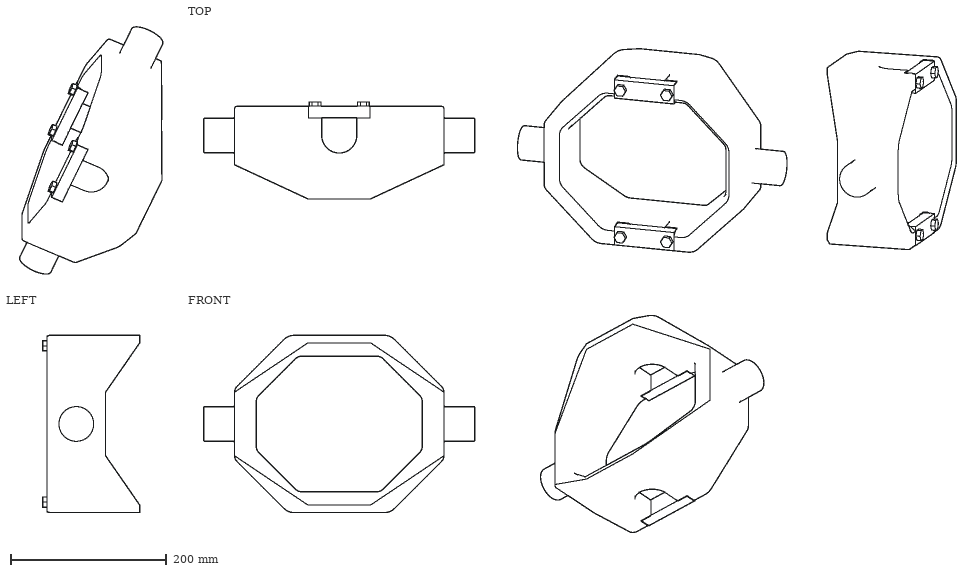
import cadquery as cq
RING_WIDTH = 270.2
RING_HEIGHT = 229.0
CORNER_CUT = 69.3
OPENING_WIDTH = 213.5
OPENING_HEIGHT = 174.3
OPENING_CORNER_CUT = 53.5
SIDE_CORNER_RADIUS = 10.5
END_CORNER_RADIUS = 18.5
OPENING_CORNER_RADIUS = 10.5
EDGE_RADIUS = 3.5

BACK_CHAMFER_DEPTH = 9.0
BACK_CHAMFER_WIDTH = 7.0
FRONT_RADIUS = 1.0

BACK_Y = 37.8
SIDE_FRONT_Y = -BACK_Y
NOSE_Y = -82.0
NOSE_WIDTH = 80.5
NOSE_GAP = 209.3
SIDE_FLAT_HEIGHT = 82.0

TRUNNION_SPAN = 350.0
TRUNNION_RADIUS = 22.5
TRUNNION_ROUNDING = 1.8

SLOT_RADIUS = 22.5
BLOCK_WIDTH = 79.8
BLOCK_DEPTH = 15.0
BLOCK_INSET = 1.0

HEAD_ACROSS_CORNERS = 15.5
HEAD_HEIGHT = 5.5
HEAD_SPACING = 62.3

WALL = (RING_HEIGHT - OPENING_HEIGHT) / 2
WALL_MID_Z = (RING_HEIGHT - WALL) / 2
RING_DEPTH = BACK_Y - NOSE_Y
BLOCK_FRONT_Y = BACK_Y - BLOCK_DEPTH
SIDE_X = RING_WIDTH / 2
TOLERANCE = 0.05


def octagon_prism(width, height, corner_cut):
    """Rectangle with 45 degree corners in XZ, from the back plane to the nose plane."""
    return (
        cq.Workplane("XZ", origin=(0, BACK_Y, 0))
        .rect(width, height)
        .extrude(RING_DEPTH)
        .edges("|Y")
        .chamfer(corner_cut)
    )


def make_outer_prism():
    """Octagon with its corners and the rim of its back face rounded."""
    prism = octagon_prism(RING_WIDTH, RING_HEIGHT, CORNER_CUT)
    mid_corner_z = (RING_HEIGHT - CORNER_CUT) / 2
    prism = (
        prism.edges("|Y")
        .filter(lambda edge: abs(edge.Center().z) < mid_corner_z)
        .fillet(SIDE_CORNER_RADIUS)
    )
    prism = (
        prism.edges("|Y")
        .filter(lambda edge: abs(edge.Center().z) > RING_HEIGHT / 2 - END_CORNER_RADIUS / 2)
        .fillet(END_CORNER_RADIUS)
    )
    return prism.faces(">Y").edges().fillet(EDGE_RADIUS)


def make_plan_limit():
    """Prism along Z whose front narrows from the trunnion sides to the nose."""
    return (
        cq.Workplane("XY", origin=(0, 0, -RING_HEIGHT / 2))
        .polyline(
            [
                (SIDE_X, BACK_Y),
                (SIDE_X, SIDE_FRONT_Y),
                (NOSE_WIDTH / 2, NOSE_Y),
                (-NOSE_WIDTH / 2, NOSE_Y),
                (-SIDE_X, SIDE_FRONT_Y),
                (-SIDE_X, BACK_Y),
            ]
        )
        .close()
        .extrude(RING_HEIGHT)
    )


def make_front_notch():
    """Tapered notch across X that leaves the top and bottom walls reaching to the nose."""
    notch = (
        cq.Workplane("YZ", origin=(-SIDE_X, 0, 0))
        .polyline(
            [
                (SIDE_FRONT_Y, SIDE_FLAT_HEIGHT / 2),
                (NOSE_Y, NOSE_GAP / 2),
                (NOSE_Y, -NOSE_GAP / 2),
                (SIDE_FRONT_Y, -SIDE_FLAT_HEIGHT / 2),
            ]
        )
        .close()
        .extrude(RING_WIDTH)
    )
    return notch.faces(">Y").edges("|X").fillet(FRONT_RADIUS)


def make_opening():
    opening = octagon_prism(OPENING_WIDTH, OPENING_HEIGHT, OPENING_CORNER_CUT)
    return opening.edges("|Y").fillet(OPENING_CORNER_RADIUS)


def make_slot():
    """One U-shaped slot along Z through both walls, open towards the back."""
    return (
        cq.Workplane("XY", origin=(0, 0, -RING_HEIGHT / 2))
        .moveTo(-SLOT_RADIUS, BACK_Y)
        .lineTo(-SLOT_RADIUS, 0)
        .threePointArc((0, -SLOT_RADIUS), (SLOT_RADIUS, 0))
        .lineTo(SLOT_RADIUS, BACK_Y)
        .close()
        .extrude(RING_HEIGHT)
    )


def make_block_recess():
    """Rectangular notch in the back of both walls, where the blocks sit."""
    return cq.Workplane("XY").box(BLOCK_WIDTH, BLOCK_DEPTH, RING_HEIGHT).translate(
        (0, BACK_Y - BLOCK_DEPTH / 2, 0)
    )


def edges_inside(body, half_width, half_depth, half_height):
    """Edges of a body that lie wholly inside a box centred on the trunnion axis."""
    corner = (half_width + TOLERANCE, half_depth + TOLERANCE, half_height + TOLERANCE)
    opposite = tuple(-size for size in corner)
    return body.edges(cq.selectors.BoxSelector(opposite, corner, boundingbox=True))


def opening_rims(ring):
    """Edges around the front and the back of the opening."""
    edges = edges_inside(ring, OPENING_WIDTH / 2, RING_DEPTH, OPENING_HEIGHT / 2)
    return edges.edges("not |Y")


def add_trunnion(ring, side):
    """Add a stub to the +X (side = 1) or -X (side = -1) face, rounded at its root and end."""
    stub = (
        cq.Workplane("YZ", origin=(side * SIDE_X, 0, 0))
        .circle(TRUNNION_RADIUS)
        .extrude(side * (TRUNNION_SPAN / 2 - SIDE_X))
    )
    ring = ring.union(stub)
    stub_rims = (
        ring.edges("%CIRCLE")
        .filter(lambda edge: side * edge.Center().x > SIDE_X - TOLERANCE)
        .filter(lambda edge: edge.IsClosed())
    )
    return stub_rims.fillet(TRUNNION_ROUNDING)


def make_ring():
    ring = make_outer_prism().intersect(make_plan_limit())
    front_edges = ring.edges("not |Y").filter(lambda edge: edge.Center().y < SIDE_FRONT_Y / 2)
    ring = front_edges.fillet(FRONT_RADIUS).cut(make_front_notch())

    ring = ring.cut(make_opening())
    ring = opening_rims(ring).edges(">Y").chamfer(BACK_CHAMFER_WIDTH, BACK_CHAMFER_DEPTH)
    ring = opening_rims(ring).fillet(EDGE_RADIUS)

    ring = ring.cut(make_slot()).cut(make_block_recess())
    slot_rims = edges_inside(ring, SLOT_RADIUS, BLOCK_FRONT_Y, RING_HEIGHT / 2)
    ring = slot_rims.edges("not |Z").fillet(EDGE_RADIUS)

    for side in (-1, 1):
        ring = add_trunnion(ring, side)
    return ring


def make_block(end):
    """Closing block in the top (end = 1) or bottom (end = -1) wall."""
    height = WALL - 2 * BLOCK_INSET
    center = (0, BACK_Y - BLOCK_DEPTH / 2, end * WALL_MID_Z)
    return cq.Workplane("XY").box(BLOCK_WIDTH, BLOCK_DEPTH, height).translate(center)


def make_bolt_head(x, z):
    """Hexagonal head on the back of a block, with two of its corners along X."""
    return (
        cq.Workplane("XZ", origin=(x, BACK_Y, z))
        .polygon(6, HEAD_ACROSS_CORNERS)
        .extrude(-HEAD_HEIGHT)
    )


ring = make_ring()
blocks = [make_block(end) for end in (-1, 1)]
bolt_heads = [
    make_bolt_head(side * HEAD_SPACING / 2, end * WALL_MID_Z)
    for end in (-1, 1)
    for side in (-1, 1)
]

result = cq.Compound.makeCompound(
    [ring.val()] + [block.val() for block in blocks] + [head.val() for head in bolt_heads]
)